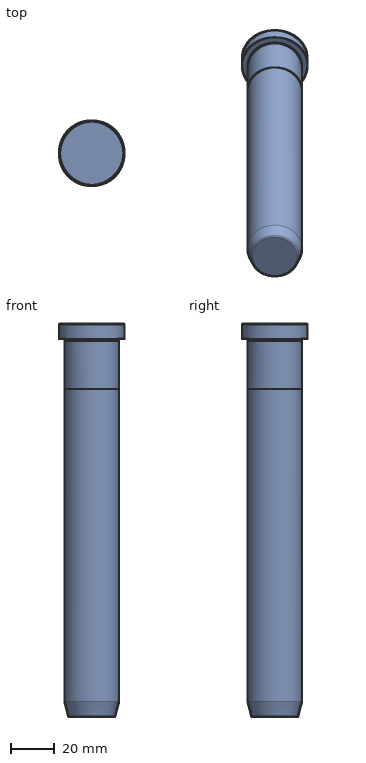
import cadquery as cq

total_length = 180.0
head_diameter = 30.0
shaft_diameter = 25.0
shank_length = 30.0
head_height = 7.0
head_chamfer = 0.5

groove_width = 1.0
groove_depth = 0.4
groove_flank = 0.5

lead_height = 7.0
lead_inset = 1.8
tip_round = 0.7

shaft_radius = shaft_diameter / 2
head_bottom = total_length - head_height
straight_height = groove_width - groove_flank
joint_height = total_length - shank_length


def make_headed_shank():
    """Upper body: chamfered head, relief groove and short shank."""
    head = (
        cq.Workplane("XY", origin=(0, 0, head_bottom))
        .circle(head_diameter / 2)
        .extrude(head_height)
        .faces(">Z")
        .chamfer(head_chamfer)
    )
    groove_core = (
        cq.Workplane("XY", origin=(0, 0, head_bottom - straight_height))
        .circle(shaft_radius - groove_depth)
        .extrude(straight_height)
    )
    shank = (
        cq.Workplane("XY", origin=(0, 0, joint_height))
        .circle(shaft_radius)
        .extrude(head_bottom - straight_height - joint_height)
    )
    shank = shank.faces(">Z").chamfer(groove_flank, groove_depth)
    return head.union(groove_core).union(shank)


def make_guide_shaft():
    """Lower body: plain cylinder ending in a tapered lead-in with a rounded tip."""
    tip_radius = shaft_radius - lead_inset
    profile = (
        cq.Workplane("XZ")
        .lineTo(tip_radius, 0)
        .lineTo(shaft_radius, lead_height)
        .lineTo(shaft_radius, joint_height)
        .lineTo(0, joint_height)
        .close()
    )
    shaft = profile.revolve(360, (0, 0, 0), (0, 1, 0))
    return shaft.faces("<Z").edges().fillet(tip_round)


headed_shank = make_headed_shank()
guide_shaft = make_guide_shaft()

result = cq.Compound.makeCompound([headed_shank.val(), guide_shaft.val()])